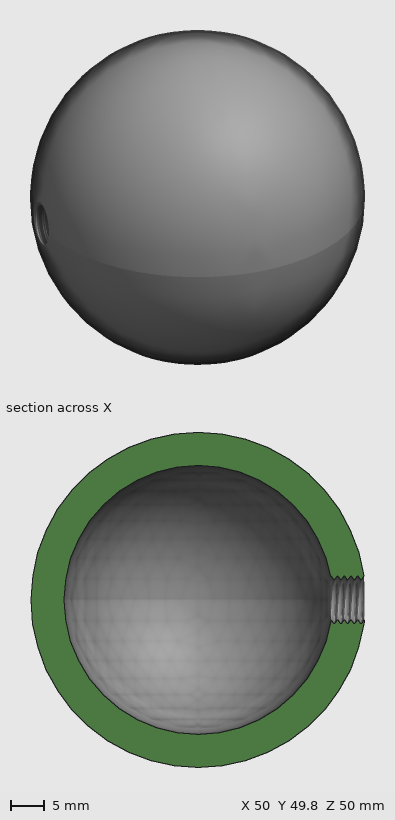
import cadquery as cq
import math

ball_radius = 25.0
wall_thickness = 5.0
cavity_radius = ball_radius - wall_thickness

thread_diameter = 7.0
bore_diameter = 5.95
pitch = 1.0
groove_mouth = 0.85
groove_root = 0.1
groove_overlap = 0.05

bore_radius = bore_diameter / 2
thread_radius = thread_diameter / 2
mouth_y = -math.sqrt(ball_radius**2 - thread_radius**2)
thread_start_y = mouth_y - pitch
thread_turns = math.ceil(wall_thickness / pitch) + 2


def make_sphere(radius):
    """Sphere made of two hemispherical faces that meet at the equator."""
    arc_offset = radius * math.sqrt(0.5)
    return (
        cq.Workplane("XZ")
        .moveTo(0, -radius)
        .threePointArc((arc_offset, -arc_offset), (radius, 0))
        .threePointArc((arc_offset, arc_offset), (0, radius))
        .close()
        .revolve(360, (0, 0, 0), (0, 1, 0), clean=False)
    )


def make_bore():
    """Cylinder from the ball's centre out through the -Y wall."""
    return cq.Workplane("XZ").circle(bore_radius).extrude(ball_radius)


def make_thread_groove():
    """Right-hand V groove that starts outside the ball and runs through the wall."""
    inner_radius = bore_radius - groove_overlap
    flank_slope = (groove_mouth - groove_root) / (thread_diameter - bore_diameter)
    inner_half_width = groove_mouth / 2 + flank_slope * groove_overlap
    root_half_width = groove_root / 2
    helix = cq.Wire.makeHelix(
        pitch,
        thread_turns * pitch,
        bore_radius,
        cq.Vector(0, thread_start_y, 0),
        cq.Vector(0, 1, 0),
    )
    profile_plane = cq.Plane(origin=(0, thread_start_y, 0), xDir=(0, 0, 1), normal=(-1, 0, 0))
    return (
        cq.Workplane(profile_plane)
        .moveTo(inner_radius, -inner_half_width)
        .lineTo(thread_radius, -root_half_width)
        .lineTo(thread_radius, root_half_width)
        .lineTo(inner_radius, inner_half_width)
        .close()
        .sweep(cq.Workplane(obj=helix), isFrenet=True)
    )


threaded_hole = make_bore().union(make_thread_groove())
hollow_ball = make_sphere(ball_radius).cut(make_sphere(cavity_radius), clean=False)
result = hollow_ball.cut(threaded_hole, clean=False)